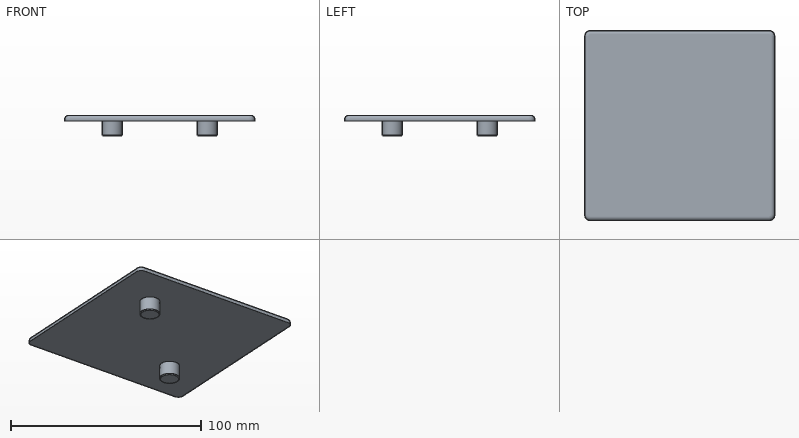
import cadquery as cq

SIDE = 100.0
PLATE_THICKNESS = 3.0
CORNER_RADIUS = 3.0
TOP_EDGE_RADIUS = 2.0

TOTAL_HEIGHT = 10.8
FOOT_DIAMETER = 10.6
FOOT_CHAMFER = 0.5
FOOT_HEIGHT = TOTAL_HEIGHT - PLATE_THICKNESS
FOOT_OFFSET = SIDE / 4


def make_plate():
    """Square plate with its underside on Z = 0, rounded corners and a rounded top edge."""
    plate = cq.Workplane("XY").rect(SIDE, SIDE).extrude(PLATE_THICKNESS)
    plate = plate.edges("|Z").fillet(CORNER_RADIUS)
    return plate.faces(">Z").edges().fillet(TOP_EDGE_RADIUS)


def make_foot(x, y):
    """Round foot hanging from the underside of the plate, chamfered at its lower end."""
    foot = cq.Workplane("XY").center(x, y).circle(FOOT_DIAMETER / 2).extrude(-FOOT_HEIGHT)
    return foot.faces("<Z").edges().chamfer(FOOT_CHAMFER)


plate = make_plate()

feet = [make_foot(side * FOOT_OFFSET, side * FOOT_OFFSET) for side in (-1, 1)]

result = cq.Compound.makeCompound([plate.val(), *[foot.val() for foot in feet]])